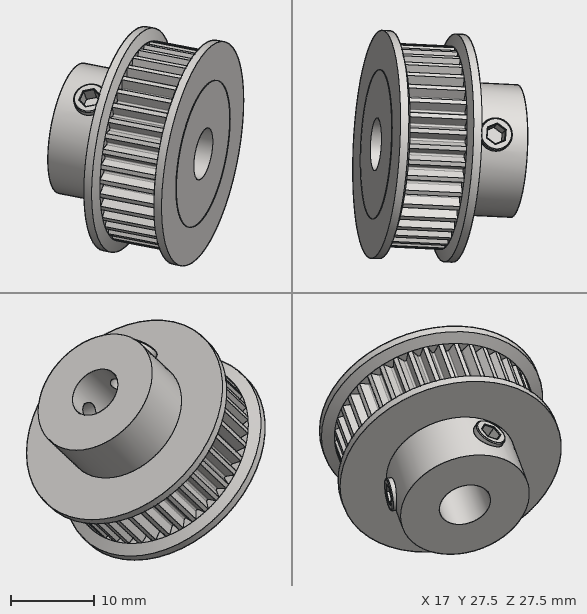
import cadquery as cq
import math


total_length = 17.0
hub_length = 6.88
end_boss_height = 0.08
flange_thickness = 1.5
flange_taper = 0.5

flange_diameter = 27.5
hub_diameter = 16.0
end_boss_diameter = 18.0
bore_diameter = 6.35
tooth_tip_diameter = 24.53
groove_root_diameter = 22.16

tooth_count = 40
tooth_tip_width = 0.55
groove_bottom_width = 0.33
groove_bottom_depth = 0.08

screw_diameter = 4.0
screw_length = 3.58
slanted_screw_end = 8.58
level_screw_end = 8.5
tip_hole_diameter = 3.2
screw_chamfer = 0.125
screw_x = 4.0
screw_stations = ((30.0, slanted_screw_end), (-90.0, level_screw_end))
socket_sides = 6
socket_flats = 2.15
socket_depth = 1.92
socket_chamfer = 0.095
socket_turn = 25.0

left_ring_x = hub_length + flange_thickness
right_flange_end = total_length - end_boss_height
right_ring_x = right_flange_end - flange_thickness
ring_width = right_ring_x - left_ring_x
tip_radius = tooth_tip_diameter / 2
root_radius = groove_root_diameter / 2


def pulley_blank():
    """Hub, two tapered flanges, toothed-ring blank and end boss, with the bore left open."""
    bore_radius = bore_diameter / 2
    hub_radius = hub_diameter / 2
    flange_radius = flange_diameter / 2
    boss_radius = end_boss_diameter / 2
    profile = [
        (0, bore_radius),
        (0, hub_radius),
        (hub_length, hub_radius),
        (hub_length, flange_radius),
        (left_ring_x - flange_taper, flange_radius),
        (left_ring_x, tip_radius),
        (right_ring_x, tip_radius),
        (right_ring_x + flange_taper, flange_radius),
        (right_flange_end, flange_radius),
        (right_flange_end, boss_radius),
        (total_length, boss_radius),
        (total_length, bore_radius),
    ]
    return cq.Workplane("XY").polyline(profile).close().revolve(360, (0, 0, 0), (1, 0, 0))


def belt_grooves():
    """Cutters for the belt grooves, evenly spaced around X with the first one along +Y."""
    half_pitch = math.pi / tooth_count
    half_tip = math.asin(tooth_tip_width / tooth_tip_diameter)
    edge_angle = half_pitch - half_tip
    edge_y = tip_radius * math.cos(edge_angle)
    edge_z = tip_radius * math.sin(edge_angle)
    flank_y = root_radius + groove_bottom_depth
    flank_z = groove_bottom_width / 2
    groove = (
        cq.Workplane("YZ", origin=(left_ring_x, 0, 0))
        .moveTo(edge_y, -edge_z)
        .lineTo(flank_y, -flank_z)
        .threePointArc((root_radius, 0), (flank_y, flank_z))
        .lineTo(edge_y, edge_z)
        .threePointArc((tip_radius, 0), (edge_y, -edge_z))
        .close()
        .extrude(ring_width)
        .val()
    )
    step = 360 / tooth_count
    return [groove.rotate((0, 0, 0), (1, 0, 0), i * step) for i in range(tooth_count)]


def place_on_hub(shape, angle):
    """Move a shape built along +Z to the screw station and turn it about X."""
    return shape.translate((screw_x, 0, 0)).rotate((0, 0, 0), (1, 0, 0), angle)


def screw_hole_cutter(angle, outer_end):
    """Stepped hole: full size for the screw, then narrower into the bore."""
    inner_end = outer_end - screw_length
    tip_hole = cq.Workplane("XY").circle(tip_hole_diameter / 2).extrude(inner_end)
    hole = (
        cq.Workplane("XY", origin=(0, 0, inner_end))
        .circle(screw_diameter / 2)
        .extrude(screw_length)
        .union(tip_hole)
    )
    return place_on_hub(hole.val(), angle)


def make_pulley():
    """The pulley in one piece, with its belt grooves and screw holes cut."""
    pulley = pulley_blank().val().cut(*belt_grooves())
    return pulley.cut(*[screw_hole_cutter(*station) for station in screw_stations])


def socket_cutter(outer_end):
    """Hexagonal socket with a chamfered mouth, cut down from the screw's outer end."""
    flats_per_corner = math.cos(math.pi / socket_sides)
    corner_diameter = socket_flats / flats_per_corner
    mouth_diameter = (socket_flats + 2 * socket_chamfer) / flats_per_corner
    hexagon = (
        cq.Workplane("XY", origin=(0, 0, outer_end))
        .polygon(socket_sides, corner_diameter)
        .extrude(-socket_depth)
    )
    mouth = (
        cq.Workplane("XY", origin=(0, 0, outer_end - socket_chamfer))
        .polygon(socket_sides, corner_diameter)
        .workplane(offset=socket_chamfer)
        .polygon(socket_sides, mouth_diameter)
        .loft(ruled=True)
    )
    return hexagon.union(mouth).rotate((0, 0, 0), (0, 0, 1), socket_turn)


def make_set_screw(angle, outer_end):
    """One set screw with a chamfered, socketed outer end, in its hole in the hub."""
    screw = (
        cq.Workplane("XY", origin=(0, 0, outer_end - screw_length))
        .circle(screw_diameter / 2)
        .extrude(screw_length)
        .faces(">Z")
        .chamfer(screw_chamfer)
        .cut(socket_cutter(outer_end))
    )
    return place_on_hub(screw.val(), angle)


pulley = make_pulley()
set_screws = [make_set_screw(*station) for station in screw_stations]

result = cq.Compound.makeCompound([pulley, *set_screws])